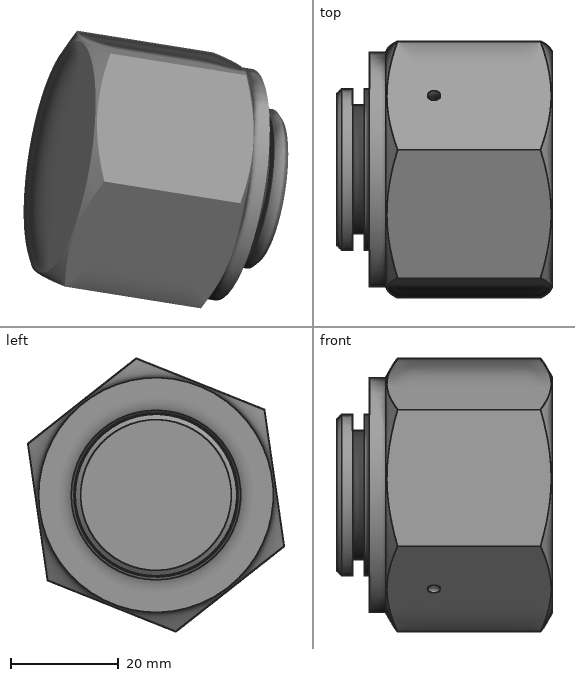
import cadquery as cq
import math

plug_protrusion = 6.12
nut_length = 34.0
overall_length = plug_protrusion + nut_length
lip_length = 8.0
shoulder_start = plug_protrusion + lip_length
shoulder_length = overall_length - shoulder_start
shoulder_diameter = 34.2

plug_diameter = 30.0
plug_chamfer = 1.0
groove_diameter = 24.0
groove_start = 3.0
groove_width = 2.12

across_flats = 44.45
across_corners = across_flats / math.cos(math.radians(30))
hex_turn = 8.21
collar_diameter = 43.6
collar_length = 3.0
corner_chamfer_angle = 30
bore_diameter = 30.5
bore_mouth_diameter = 31.5
wall_hole_diameter = 2.3
wall_hole_from_nut_face = 12.0


def cylinder(diameter, start, length):
    """Round bar along +X, starting at x = start."""
    return cq.Workplane("YZ").workplane(offset=start).circle(diameter / 2).extrude(length)


def make_plug():
    """Round plug with a chamfered, grooved front and a wider shoulder seated in the nut."""
    shank = cylinder(plug_diameter, 0, shoulder_start).faces("<X").chamfer(plug_chamfer)
    plug = shank.union(cylinder(shoulder_diameter, shoulder_start, shoulder_length))
    groove_core = cylinder(groove_diameter, groove_start, groove_width)
    groove_ring = cylinder(across_flats, groove_start, groove_width).cut(groove_core)
    return plug.cut(groove_ring)


def make_hexagon():
    """Hexagonal bar whose corners are trimmed by a cone at both ends."""
    start = plug_protrusion + collar_length
    length = overall_length - start
    hexagon = (
        cq.Workplane("YZ")
        .workplane(offset=start)
        .polygon(6, across_corners)
        .extrude(length)
        .rotate((0, 0, 0), (1, 0, 0), 90 - hex_turn)
    )
    end_radius = collar_diameter / 2
    trim_radius = across_corners / 2 + 1
    cone_length = (trim_radius - end_radius) * math.tan(math.radians(corner_chamfer_angle))
    trim = (
        cq.Workplane("XY")
        .moveTo(start, 0)
        .lineTo(start, end_radius)
        .lineTo(start + cone_length, trim_radius)
        .lineTo(overall_length - cone_length, trim_radius)
        .lineTo(overall_length, end_radius)
        .lineTo(overall_length, 0)
        .close()
        .revolve(360, (0, 0, 0), (1, 0, 0))
    )
    return hexagon.intersect(trim)


def make_wall_hole_cutter():
    """Straight pin crossing the axis, centred on two opposite hexagon flats."""
    flat_angle = hex_turn + 30
    return (
        cq.Workplane("XY")
        .center(plug_protrusion + wall_hole_from_nut_face, 0)
        .circle(wall_hole_diameter / 2)
        .extrude(across_corners / 2, both=True)
        .rotate((0, 0, 0), (1, 0, 0), -flat_angle)
    )


def make_nut():
    """Hexagon nut with a front collar, a stepped bore with a chamfered mouth and two wall holes."""
    collar = cylinder(collar_diameter, plug_protrusion, collar_length)
    nut = make_hexagon().union(collar)
    nut = nut.cut(cylinder(bore_diameter, plug_protrusion, lip_length))
    nut = nut.cut(cylinder(shoulder_diameter, shoulder_start, shoulder_length))
    mouth_chamfer = (bore_mouth_diameter - bore_diameter) / 2
    nut = nut.faces("<X").edges(cq.selectors.RadiusNthSelector(0)).chamfer(mouth_chamfer)
    return nut.cut(make_wall_hole_cutter())


plug = make_plug()
nut = make_nut()

result = cq.Compound.makeCompound([plug.val(), nut.val()])